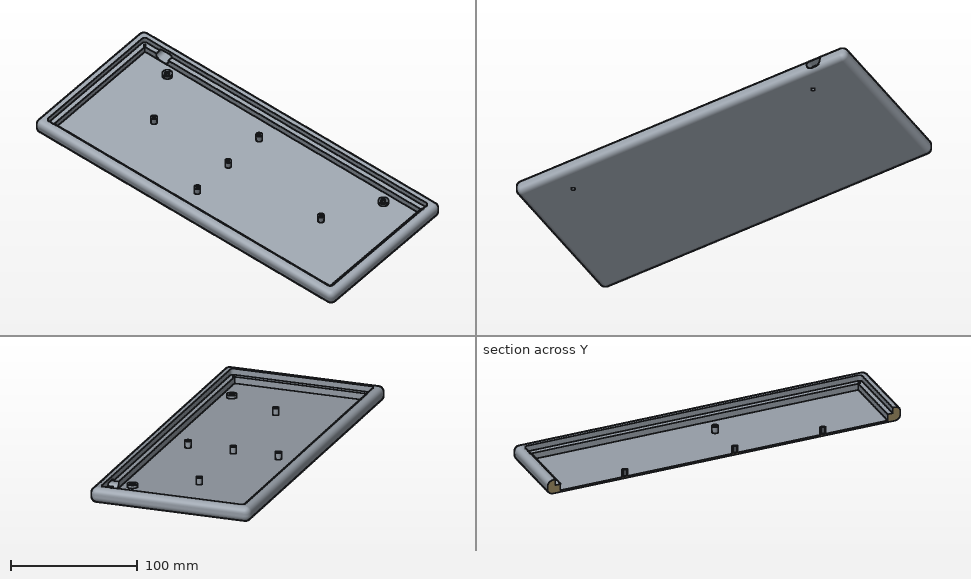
import cadquery as cq

KEY_PITCH = 19.05
KEY_COLUMNS = 15
KEY_ROWS = 6
GRID_LENGTH = KEY_COLUMNS * KEY_PITCH
GRID_WIDTH = KEY_ROWS * KEY_PITCH

CASE_LENGTH = 306.0
CASE_WIDTH = 134.6
CASE_HEIGHT = 12.5
EDGE_RADIUS = 5.0

RECESS_MARGIN = 3.08
RECESS_CORNER_RADIUS = 2.5
LEDGE_WIDTH = 4.4
FLOOR_Z = 2.0
LEDGE_Z = CASE_HEIGHT - EDGE_RADIUS
RECESS_LENGTH = GRID_LENGTH + 2 * RECESS_MARGIN
RECESS_WIDTH = GRID_WIDTH + 2 * RECESS_MARGIN
WELL_LENGTH = RECESS_LENGTH - 2 * LEDGE_WIDTH
WELL_WIDTH = RECESS_WIDTH - 2 * LEDGE_WIDTH

LEDGE_HOLE_DIAMETER = 1.6
LEDGE_HOLE_DEPTH = 4.0

POST_DIAMETER = 5.0
POST_HOLE_DIAMETER = 2.0
POST_HEIGHT = LEDGE_Z - FLOOR_Z
POST_CENTERS = [
    (-4.5 * KEY_PITCH, 0),
    (-0.5 * KEY_PITCH, 2 * KEY_PITCH),
    (-0.5 * KEY_PITCH, 0),
    (-0.5 * KEY_PITCH, -2 * KEY_PITCH),
    (4.5 * KEY_PITCH, 0),
]

BOSS_DIAMETER = 8.0
BOSS_HEIGHT = 2.5
BOSS_BORE_DEPTH = 1.0
BOSS_BORE_DIAMETER = 4.0
BOSS_HOLE_DIAMETER = 3.0
BOSS_X = 111.0
BOSS_Y = 46.7

SLOT_X = -6.5 * KEY_PITCH
SLOT_FLAT_LENGTH = 3.8
SLOT_BOTTOM_RADIUS = 4.3
SLOT_TOP_RADIUS = 2.2
SLOT_LENGTH = SLOT_FLAT_LENGTH + 2 * SLOT_BOTTOM_RADIUS
SLOT_BOTTOM_Z = 2.3
SLOT_TOP_Z = 9.55


def outer_body():
    """Block with every edge rounded."""
    block = cq.Workplane().box(CASE_LENGTH, CASE_WIDTH, CASE_HEIGHT, centered=(True, True, False))
    return block.edges().fillet(EDGE_RADIUS)


def pocket(length, width, bottom_z):
    """Rectangular cutter from bottom_z up to the top of the case."""
    return (
        cq.Workplane()
        .workplane(offset=bottom_z)
        .rect(length, width)
        .extrude(CASE_HEIGHT - bottom_z)
    )


def cylinders(centers, diameter, bottom_z, height):
    """Upright cylinders standing on bottom_z."""
    return (
        cq.Workplane()
        .workplane(offset=bottom_z)
        .pushPoints(centers)
        .circle(diameter / 2)
        .extrude(height)
    )


def cable_slot():
    """Cutter that runs from inside the well out through the back wall."""
    wall = (CASE_WIDTH - WELL_WIDTH) / 2
    height = SLOT_TOP_Z - SLOT_BOTTOM_Z
    middle_z = (SLOT_TOP_Z + SLOT_BOTTOM_Z) / 2
    block = (
        cq.Workplane("XZ", origin=(SLOT_X, CASE_WIDTH / 2, middle_z))
        .rect(SLOT_LENGTH, height)
        .extrude(wall)
    )
    block = block.edges("|Y and <Z").fillet(SLOT_BOTTOM_RADIUS)
    return block.edges("|Y and >Z").fillet(SLOT_TOP_RADIUS)


def cut_cavity(body):
    """Cut the recess with rounded corners, then the square-cornered well below it."""
    recess = pocket(RECESS_LENGTH, RECESS_WIDTH, LEDGE_Z).edges("|Z").fillet(RECESS_CORNER_RADIUS)
    well = pocket(WELL_LENGTH, WELL_WIDTH, FLOOR_Z)
    return body.cut(recess).cut(well)


def cut_ledge_holes(body):
    """Drill a blind hole in the ledge at each corner of the key grid."""
    corners = [(x * GRID_LENGTH / 2, y * GRID_WIDTH / 2) for x in (-1, 1) for y in (-1, 1)]
    bottom_z = LEDGE_Z - LEDGE_HOLE_DEPTH
    return body.cut(cylinders(corners, LEDGE_HOLE_DIAMETER, bottom_z, LEDGE_HOLE_DEPTH))


def add_posts(body):
    """Stand the posts on the floor and drill each one down to the floor."""
    posts = cylinders(POST_CENTERS, POST_DIAMETER, FLOOR_Z, POST_HEIGHT)
    holes = cylinders(POST_CENTERS, POST_HOLE_DIAMETER, FLOOR_Z, POST_HEIGHT)
    return body.union(posts).cut(holes)


def add_bosses(body):
    """Stand the two bosses on the floor and drill them through, with a wider bore on top."""
    centers = [(-BOSS_X, BOSS_Y), (BOSS_X, BOSS_Y)]
    top_z = FLOOR_Z + BOSS_HEIGHT
    bosses = cylinders(centers, BOSS_DIAMETER, FLOOR_Z, BOSS_HEIGHT)
    bores = cylinders(centers, BOSS_BORE_DIAMETER, top_z - BOSS_BORE_DEPTH, BOSS_BORE_DEPTH)
    holes = cylinders(centers, BOSS_HOLE_DIAMETER, 0, top_z)
    return body.union(bosses).cut(bores).cut(holes)


result = outer_body()
result = cut_cavity(result)
result = cut_ledge_holes(result)
result = add_posts(result)
result = add_bosses(result)
result = result.cut(cable_slot())